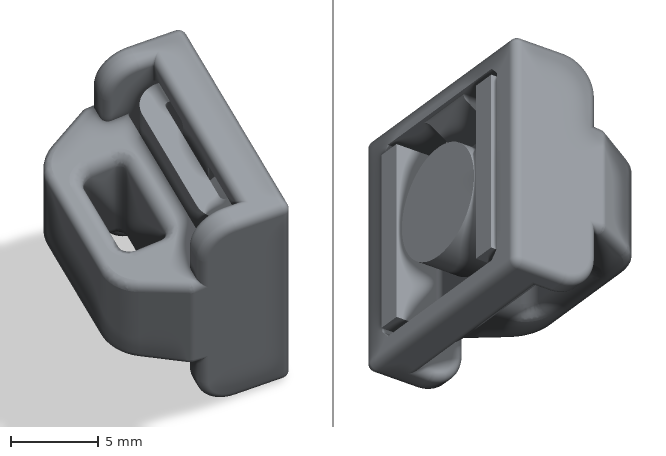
import cadquery as cq
import math


WIDTH = 15.0
HEIGHT = 15.25
ARM_WIDTH = 1.75
ARM_DEPTH = 5.76
WALL_DEPTH = 2.62
ARM_CORNER_RADIUS = 2.25
EDGE_RADIUS = 0.5
CHANNEL_WIDTH = WIDTH - 2 * ARM_WIDTH

BRIDGE_BACK = 4.25
BRIDGE_FRONT = 10.26
BRIDGE_BACK_HALF_HEIGHT = 3.63
BRIDGE_DRAFT = math.radians(5)
SHOULDER_DEPTH = 6.25
FLANK_ANGLE = math.radians(60)
NOSE_RADIUS = 2.67
BRIDGE_ROOT_RADIUS = 0.12

SLOT_WIDTH = 6.25
SLOT_BACK = 5.76
SLOT_FRONT = 8.51
SLOT_BACK_RADIUS = 0.5
SLOT_FRONT_RADIUS = 0.75
SLOT_RIM_RADIUS = 0.75

WINDOW_HEIGHT = 12.73
TAB_WIDTH = 3.48
TAB_TIP_HALF_HEIGHT = 4.86
TAB_RAMP_ANGLE = math.radians(33)
WINDOW_CHAMFER = 0.55
WINDOW_CORNER_RADIUS = 0.27

SLIDER_WIDTH = 11.01
SLIDER_HEIGHT = 11.5
SLIDER_PROTRUSION = 0.25
SLIDER_WEB = 1.46
SLIDER_LEG = 1.52
SLIDER_FRONT_RADIUS = 1.75
SLIDER_INNER_RADIUS = 0.27
SLIDER_FLOOR = BRIDGE_BACK - SLIDER_WEB

DISC_DIAMETER = 7.23
DISC_PROTRUSION = 0.12

ZONE_MARGIN = 0.08


def block(width, back, front, height):
    """Box centred on X and Z, between two depths measured from the back face."""
    return cq.Workplane("XY").box(width, front - back, height).translate((0, -(back + front) / 2, 0))


def zone_corners(half_width, back, front, half_height):
    """Opposite corners of a box zone, widened by a small margin on every side."""
    low = (-half_width - ZONE_MARGIN, -front - ZONE_MARGIN, -half_height - ZONE_MARGIN)
    high = (half_width + ZONE_MARGIN, -back + ZONE_MARGIN, half_height + ZONE_MARGIN)
    return low, high


def edges_centred_in(half_width, back, front, half_height):
    """Selector for edges whose centre lies in the zone."""
    return cq.selectors.BoxSelector(*zone_corners(half_width, back, front, half_height))


def edges_inside(half_width, back, front, half_height):
    """Selector for edges that lie wholly in the zone."""
    return cq.selectors.BoxSelector(*zone_corners(half_width, back, front, half_height), boundingbox=True)


def make_channel():
    """Back wall with two arms, open at the front, top and bottom."""
    outer = block(WIDTH, 0, ARM_DEPTH, HEIGHT)
    outer = outer.edges("<Y and |X").fillet(ARM_CORNER_RADIUS)
    outer = outer.edges().fillet(EDGE_RADIUS)
    opening = block(CHANNEL_WIDTH, WALL_DEPTH, BRIDGE_FRONT, 2 * HEIGHT)
    channel = outer.cut(opening)
    half_width = CHANNEL_WIDTH / 2
    opening_edges = edges_inside(half_width, 0, BRIDGE_FRONT, HEIGHT)
    inside_corners = edges_centred_in(half_width, WALL_DEPTH, WALL_DEPTH, 0)
    return channel.edges(opening_edges - inside_corners).fillet(EDGE_RADIUS)


def make_bridge():
    """Tapered handle: a plan outline with slanted flanks, cut to a drafted wedge."""
    half_width = WIDTH / 2
    nose_half_width = half_width - (BRIDGE_FRONT - SHOULDER_DEPTH) / math.tan(FLANK_ANGLE)
    plan = (
        cq.Workplane("XY")
        .polyline([
            (-half_width, -BRIDGE_BACK),
            (-half_width, -SHOULDER_DEPTH),
            (-nose_half_width, -BRIDGE_FRONT),
            (nose_half_width, -BRIDGE_FRONT),
            (half_width, -SHOULDER_DEPTH),
            (half_width, -BRIDGE_BACK),
        ])
        .close()
        .extrude(HEIGHT / 2, both=True)
    )
    plan = plan.edges("|Z and <Y").fillet(NOSE_RADIUS)
    shoulders = edges_centred_in(half_width, SHOULDER_DEPTH, SHOULDER_DEPTH, 0)
    plan = plan.edges(shoulders).fillet(EDGE_RADIUS)
    front_half_height = BRIDGE_BACK_HALF_HEIGHT - (BRIDGE_FRONT - BRIDGE_BACK) * math.tan(BRIDGE_DRAFT)
    wedge = (
        cq.Workplane("YZ")
        .polyline([
            (-BRIDGE_BACK, -BRIDGE_BACK_HALF_HEIGHT),
            (-BRIDGE_FRONT, -front_half_height),
            (-BRIDGE_FRONT, front_half_height),
            (-BRIDGE_BACK, BRIDGE_BACK_HALF_HEIGHT),
        ])
        .close()
        .extrude(WIDTH, both=True)
    )
    bridge = plan.intersect(wedge)
    return bridge.faces("<Y").edges("|X").fillet(EDGE_RADIUS)


def add_slot(bridge):
    """Cut the strap slot through the bridge and round its upper and lower rims."""
    slot = block(SLOT_WIDTH, SLOT_BACK, SLOT_FRONT, HEIGHT)
    slot = slot.edges("|Z and >Y").fillet(SLOT_BACK_RADIUS)
    slot = slot.edges("|Z and <Y").fillet(SLOT_FRONT_RADIUS)
    bridge = bridge.cut(slot)
    slot_edges = edges_inside(SLOT_WIDTH / 2, SLOT_BACK, SLOT_FRONT, HEIGHT)
    return bridge.edges(slot_edges).edges("not |Z").fillet(SLOT_RIM_RADIUS)


def make_window(side):
    """Cutter for the part of the opening on one side of the tabs (side = -1 or 1)."""
    inner = TAB_WIDTH / 2
    outer = CHANNEL_WIDTH / 2
    window = cq.Workplane("XY").box(outer - inner, 2 * WALL_DEPTH, WINDOW_HEIGHT)
    window = window.edges("|Y and <X").fillet(WINDOW_CORNER_RADIUS)
    window = window.edges("|Y and >X").chamfer(WINDOW_CHAMFER)
    window = window.translate(((inner + outer) / 2, -WALL_DEPTH / 2, 0))
    return window if side > 0 else window.mirror("YZ")


def make_tab_clearance():
    """Cutter for the middle of the opening; its slanted ends shape the tabs' ramps."""
    top = WINDOW_HEIGHT / 2
    ramp_end = WALL_DEPTH - (top - TAB_TIP_HALF_HEIGHT) / math.tan(TAB_RAMP_ANGLE)
    return (
        cq.Workplane("YZ")
        .polyline([
            (-WALL_DEPTH, -TAB_TIP_HALF_HEIGHT),
            (-WALL_DEPTH, TAB_TIP_HALF_HEIGHT),
            (-ramp_end, top),
            (0, top),
            (0, -top),
            (-ramp_end, -top),
        ])
        .close()
        .extrude(TAB_WIDTH / 2 + WINDOW_CORNER_RADIUS, both=True)
    )


def make_disc():
    disc_back = -DISC_PROTRUSION
    return (
        cq.Workplane("XZ", origin=(0, -disc_back, 0))
        .circle(DISC_DIAMETER / 2)
        .extrude(SLIDER_FLOOR - disc_back)
    )


def make_housing():
    housing = make_channel().union(add_slot(make_bridge()))
    for side in (-1, 1):
        housing = housing.cut(make_window(side))
    housing = housing.cut(make_tab_clearance())
    bridge_roots = edges_centred_in(CHANNEL_WIDTH / 2, BRIDGE_BACK, BRIDGE_BACK, 0)
    return housing.edges("|Z").edges(bridge_roots).fillet(BRIDGE_ROOT_RADIUS)


def make_slider():
    slider = block(SLIDER_WIDTH, -SLIDER_PROTRUSION, BRIDGE_BACK, SLIDER_HEIGHT)
    slider = slider.edges("|Z and <Y").fillet(SLIDER_FRONT_RADIUS)
    groove = block(SLIDER_WIDTH - 2 * SLIDER_LEG, -2 * SLIDER_PROTRUSION, SLIDER_FLOOR, HEIGHT)
    groove = groove.edges("|Z and <Y").fillet(SLIDER_INNER_RADIUS)
    return slider.cut(groove)


disc = make_disc()
housing = make_housing()
slider = make_slider()

result = cq.Compound.makeCompound([housing.solids().val(), slider.solids().val(), disc.val()])